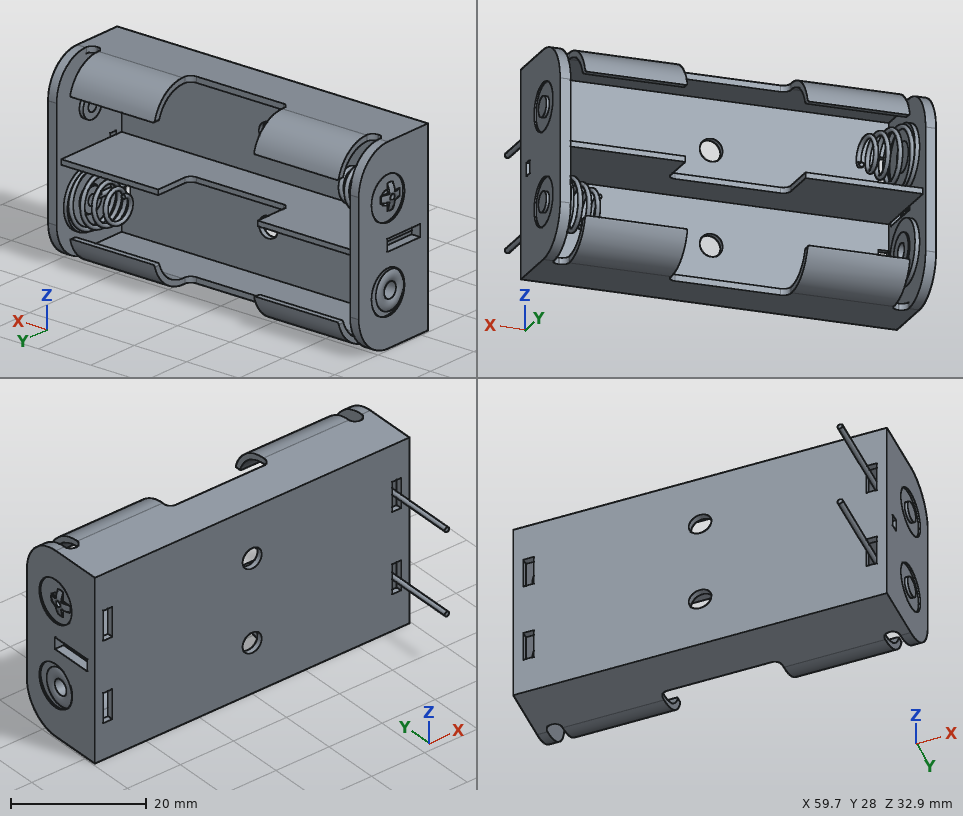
import cadquery as cq
import math

overall_length = 59.7
overall_depth = 28.0
width = 32.9
head_stand_out = 0.2
depth = 16.0
length = overall_length - 2 * head_stand_out
half_length = length / 2
half_width = width / 2

end_wall = 1.7
shell = 1.0
divider_thickness = 0.9
divider_height = 14.9
corner_radius = 6.75
arc_y = depth - corner_radius
arc_z = half_width - corner_radius
clip_tip_z = 11.3
clip_corner_fillet = 0.3
clip_gap_half = 9.5
clip_gap_floor = 7.65
clip_gap_fillet = 1.2
window_width = 2.4
window_floor = 8.05
window_end_radius = 1.15

cell_z = 7.45
mount_hole_radius = 1.8
plate_slot_width = 1.7
plate_slot_height = 5.3
plate_slot_z = 7.3
plate_slot_inset = 2.45
divider_slot_height = 2.1
divider_slot_floor = 1.8
divider_slot_top = 9.4
far_slot_floor = 2.25
far_slot_top = 3.6

recess_radius = 3.8
recess_depth = 0.3
recess_y = arc_y
recess_hole_radius = 1.25

contact_y = 8.4
base_radius = 5.15
base_thickness = 0.7
base_bore_radius = 2.4
coil_radius = 4.8
coil_tip_radius = 1.8
coil_wire_radius = 0.35
coil_pitch = 1.8
coil_turns = 4

shank_radius = 0.95
cross_arm_reach = 2.25
cross_arm_width = 1.25
cross_bore_radius = 0.5
cross_dome_height = 0.55

eyelet_rim_radius = 3.3
eyelet_shank_radius = 1.9
eyelet_bore_radius = 1.4
eyelet_nose_radius = 3.0
eyelet_nose_height = 0.25

terminal_diameter = 0.85
terminal_inset = 2.55
eye_radius = 2.15
eye_thickness = 0.7
wire_end_to_eye_axis = 1.55
terminal_head_radius = 1.6

inner_face = half_length - end_wall
recess_floor = half_length - recess_depth
head_height = recess_depth + head_stand_out
terminal_x = half_length - terminal_inset


def box(x_range, y_range, z_range):
    """Box given by its limits along each axis."""
    corner = (x_range[0], y_range[0], z_range[0])
    size = [high - low for low, high in (x_range, y_range, z_range)]
    return cq.Workplane("XY").box(*size, centered=False).translate(corner)


def rod_x(radius, x_start, x_end, y, z):
    """Cylinder along X."""
    return cq.Workplane("YZ", origin=(x_start, y, z)).circle(radius).extrude(x_end - x_start)


def outer_block():
    arc_middle = corner_radius * math.sqrt(0.5)
    return (
        cq.Workplane("YZ", origin=(-half_length, 0, 0))
        .moveTo(0, -half_width)
        .lineTo(arc_y, -half_width)
        .threePointArc((arc_y + arc_middle, -arc_z - arc_middle), (depth, -arc_z))
        .lineTo(depth, arc_z)
        .threePointArc((arc_y + arc_middle, arc_z + arc_middle), (arc_y, half_width))
        .lineTo(0, half_width)
        .close()
        .extrude(length)
    )


def cell_cavity():
    """Upper cell bay: the clip curves over it and leaves it open towards +Y."""
    inner_radius = corner_radius - shell
    tip_y = arc_y + math.sqrt(inner_radius**2 - (clip_tip_z - arc_z) ** 2)
    arc_middle = inner_radius * math.sqrt(0.5)
    return (
        cq.Workplane("YZ", origin=(-inner_face, 0, 0))
        .moveTo(shell, divider_thickness / 2)
        .lineTo(depth, divider_thickness / 2)
        .lineTo(depth, clip_tip_z)
        .lineTo(tip_y, clip_tip_z)
        .threePointArc((arc_y + arc_middle, arc_z + arc_middle), (arc_y, half_width - shell))
        .lineTo(shell, half_width - shell)
        .close()
        .extrude(2 * inner_face)
    )


def clip_gap():
    """Opening between the clips, through both long walls and the divider."""
    return (
        box((-clip_gap_half, clip_gap_half), (clip_gap_floor, depth), (-half_width, half_width))
        .edges("|Z and <Y")
        .fillet(clip_gap_fillet)
    )


def wall_window(side):
    """Round-ended notch through both long walls next to an end wall, sparing the divider."""
    centre = side * (inner_face - window_width / 2)
    x_range = (centre - window_width / 2, centre + window_width / 2)
    notch = box(x_range, (window_floor, depth), (-half_width, half_width))
    notch = notch.edges("|Z and <Y").fillet(window_end_radius)
    spared = box(x_range, (0, depth), (-divider_thickness / 2, divider_thickness / 2))
    return notch.cut(spared)


def end_recesses(side):
    recesses = cq.Workplane("XY")
    for z in (-cell_z, cell_z):
        recesses = recesses.add(rod_x(recess_radius, side * recess_floor, side * half_length, recess_y, z))
    return recesses.combine()


def build_housing():
    body = outer_block()
    cavity = cell_cavity()
    body = body.cut(cavity).cut(cavity.mirror("XY"))
    body = body.cut(box((-inner_face, inner_face), (divider_height, depth), (-clip_tip_z, clip_tip_z)))
    body = body.cut(clip_gap())

    for side in (-1, 1):
        body = body.cut(wall_window(side)).cut(end_recesses(side))
        slot_x = side * (half_length - plate_slot_inset)
        for z in (-plate_slot_z, plate_slot_z):
            plate_slot = cq.Workplane("XY").box(plate_slot_width, 2 * shell, plate_slot_height)
            body = body.cut(plate_slot.translate((slot_x, 0, z)))

    clip_end_x = inner_face - window_width / 2
    for side in (-1, 1):
        tip_region = cq.selectors.BoxSelector(
            (-clip_end_x, arc_y, side * (clip_tip_z - clip_corner_fillet)),
            (clip_end_x, depth, side * (clip_tip_z + clip_corner_fillet)),
        )
        body = body.edges(tip_region).edges("|Y").fillet(clip_corner_fillet)

    for z in (-cell_z, cell_z):
        mount_hole = cq.Workplane("XZ", origin=(0, 0, z)).circle(mount_hole_radius).extrude(-shell)
        body = body.cut(mount_hole)
        body = body.cut(rod_x(shank_radius, inner_face, half_length, recess_y, z))

    slot_z = (-divider_slot_height / 2, divider_slot_height / 2)
    body = body.cut(box((-half_length, -inner_face), (divider_slot_floor, divider_slot_top), slot_z))
    body = body.cut(box((inner_face, half_length), (far_slot_floor, far_slot_top), slot_z))

    body = body.cut(rod_x(recess_hole_radius, -half_length, -inner_face, recess_y, cell_z))
    body = body.cut(rod_x(shank_radius, -half_length, -inner_face, contact_y, cell_z))
    body = body.cut(rod_x(eyelet_shank_radius, -half_length, -inner_face, contact_y, -cell_z))
    return body


def build_spring(side, y, z):
    """Conical spring on a flat ring base, standing on the inner face of an end wall."""
    base = cq.Workplane("XY").circle(base_radius).circle(base_bore_radius).extrude(base_thickness)
    rise = coil_pitch * coil_turns
    taper = -math.degrees(math.atan((coil_radius - coil_tip_radius) / rise))
    path = cq.Wire.makeHelix(coil_pitch, rise, coil_radius, angle=taper)
    wire_section = cq.Workplane("XZ", origin=(coil_radius, 0, 0)).circle(coil_wire_radius)
    coil = wire_section.sweep(path, isFrenet=True)
    coil = coil.translate((0, 0, base_thickness - coil_wire_radius / 2))
    upright = base.union(coil)
    return upright.rotate((0, 0, 0), (0, 1, 0), -side * 90).translate((side * inner_face, y, z))


def build_split_rivet():
    """Rivet whose outer end is split into four clinched legs forming a domed cross."""
    dome_shoulder = 0.75 * cross_dome_height
    dome = (
        cq.Workplane("XY")
        .lineTo(cross_arm_reach, 0)
        .threePointArc((cross_arm_reach / 2, dome_shoulder), (0, cross_dome_height))
        .close()
        .revolve(360, (0, 0, 0), (0, 1, 0))
        .rotate((0, 0, 0), (0, 0, 1), 90)
        .translate((-recess_floor, contact_y, cell_z))
    )
    x_range = (-half_length - head_stand_out, -recess_floor)
    reach = (-cross_arm_reach, cross_arm_reach)
    half_arm = (-cross_arm_width / 2, cross_arm_width / 2)
    cross = (
        box(x_range, reach, half_arm)
        .union(box(x_range, half_arm, reach))
        .union(rod_x(shank_radius, *x_range, 0, 0))
        .translate((0, contact_y, cell_z))
    )
    shank = rod_x(shank_radius, -recess_floor, -inner_face, contact_y, cell_z)
    inner_head = rod_x(base_bore_radius, -inner_face, -inner_face + base_thickness, contact_y, cell_z)
    bore = rod_x(cross_bore_radius, x_range[0], -inner_face, contact_y, cell_z)
    return dome.intersect(cross).union(shank).union(inner_head).cut(bore)


def build_eyelet():
    """Hollow contact: rolled rim in the recess, flange and nose inside the bay."""
    rim_middle = (eyelet_rim_radius + eyelet_bore_radius) / 2
    flange_x = -inner_face + base_thickness
    nose_x = flange_x + eyelet_nose_height
    eyelet = (
        cq.Workplane("XY")
        .moveTo(-recess_floor, eyelet_rim_radius)
        .threePointArc((-half_length, rim_middle), (-recess_floor, eyelet_bore_radius))
        .lineTo(nose_x, eyelet_bore_radius)
        .lineTo(nose_x, eyelet_nose_radius)
        .lineTo(flange_x, eyelet_nose_radius)
        .lineTo(flange_x, base_radius)
        .lineTo(-inner_face, base_radius)
        .lineTo(-inner_face, eyelet_shank_radius)
        .lineTo(-recess_floor, eyelet_shank_radius)
        .close()
        .revolve(360, (0, 0, 0), (1, 0, 0))
        .translate((0, contact_y, -cell_z))
    )
    recess_limit = rod_x(recess_radius, -half_length, -recess_floor, recess_y, -cell_z)
    inside = box((-recess_floor, 0), (0, depth), (-half_width, 0))
    return eyelet.intersect(recess_limit.union(inside))


def build_terminal(z):
    """Wire pin that ends in an eye around the terminal rivet."""
    tip_y = depth - overall_depth
    wire = cq.Workplane("XZ", origin=(terminal_x, tip_y, z)).circle(terminal_diameter / 2)
    wire = wire.extrude(tip_y + wire_end_to_eye_axis - recess_y)
    eye_x = (terminal_x - eye_thickness / 2, terminal_x + eye_thickness / 2)
    eye = rod_x(eye_radius, *eye_x, recess_y, z)
    return wire.union(eye).cut(rod_x(shank_radius, *eye_x, recess_y, z))


def build_terminal_rivet(z):
    shank = rod_x(shank_radius, terminal_x - eye_thickness / 2, recess_floor, recess_y, z)
    head = rod_x(terminal_head_radius, recess_floor, recess_floor + head_height, recess_y, z)
    return shank.union(head)


housing = build_housing()
split_rivet = build_split_rivet()
eyelet = build_eyelet()
terminals = [build_terminal(z) for z in (-cell_z, cell_z)]
terminal_rivets = [build_terminal_rivet(z) for z in (-cell_z, cell_z)]

spring_places = [(-1, contact_y, cell_z), (1, recess_y, -cell_z)]
springs = [build_spring(*place).cut(terminals[0]) for place in spring_places]

result = cq.Compound.makeCompound([
    housing.val(),
    split_rivet.val(),
    eyelet.val(),
    *[spring.val() for spring in springs],
    *[terminal.val() for terminal in terminals],
    *[rivet.val() for rivet in terminal_rivets],
])